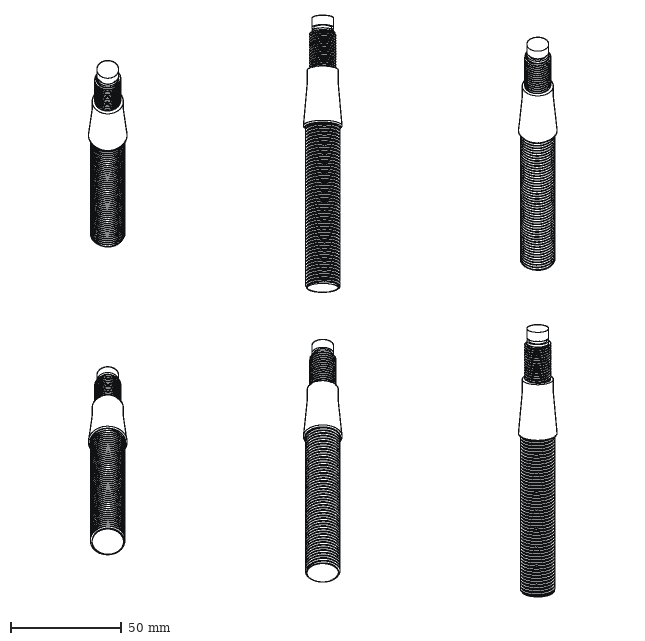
import cadquery as cq
import math

total_height = 127.8
cone_bottom = 76.2
cone_top = 97.0
collar_top = 103.2
upper_thread_top = 120.7
groove_bottom = 121.8
groove_top = 123.4

cone_diameter = 17.6
collar_diameter = 14.2
pin_diameter = 10.0
groove_diameter = 8.0
lower_crest_diameter = 15.9
lower_root_diameter = 14.2
upper_crest_diameter = 11.9
upper_root_diameter = 10.5

lower_thread_length = 76.5
lower_pieces = 3
turns_per_piece = 17
lower_piece_height = lower_thread_length / lower_pieces
lower_pitch = lower_piece_height / turns_per_piece
upper_pitch = 1.25
upper_start_angle = 100
crest_share = 1 / 8
foot_gap_share = 1 / 4
root_overlap = 0.1
spare_turns = 2
core_seam_angle = 37

cone_bevel = 0.6
end_bevel = 0.9
envelope_clearance = 0.1


def thread_ridge(root_radius, crest_radius, pitch, turns):
    """Solid right-hand helical ridge with a trapezoid section, bounded by four ruled faces and two ends."""
    inner_radius = root_radius - root_overlap
    half_crest = pitch * crest_share / 2
    half_foot = pitch * (1 - foot_gap_share) / 2
    corners = [
        (inner_radius, -half_foot),
        (crest_radius, -half_crest),
        (crest_radius, half_crest),
        (inner_radius, half_foot),
    ]
    edges = [
        cq.Wire.makeHelix(pitch, turns * pitch, radius, center=cq.Vector(0, 0, height))
        for radius, height in corners
    ]
    faces = [cq.Face.makeRuledSurface(edges[i - 1], edges[i]) for i in range(len(edges))]
    for end in (0, 1):
        outline = [edge.positionAt(end) for edge in edges]
        faces.append(cq.Face.makeFromWires(cq.Wire.makePolygon(outline, close=True)))
    return cq.Workplane(cq.Solid.makeSolid(cq.Shell.makeShell(faces)))


def threaded_rod(root_diameter, crest_diameter, pitch, height):
    """Core with a helical ridge, both cut flat at Z = 0 and Z = height."""
    turns = math.ceil(height / pitch) + spare_turns
    ridge = thread_ridge(root_diameter / 2, crest_diameter / 2, pitch, turns)
    ridge = ridge.translate((0, 0, -pitch * spare_turns / 2))
    slab = cq.Workplane("XY").circle(crest_diameter).extrude(height)
    core = cq.Workplane("XY").circle(root_diameter / 2).extrude(height)
    core = core.rotate((0, 0, 0), (0, 0, 1), core_seam_angle)
    return core.union(ridge.intersect(slab), clean=False)


def lower_rod():
    """Stacked thread pieces, the lowest one beveled at its free end."""
    piece = threaded_rod(lower_root_diameter, lower_crest_diameter, lower_pitch, lower_piece_height)
    envelope = (
        cq.Workplane("XY")
        .circle(lower_crest_diameter / 2 + envelope_clearance)
        .extrude(lower_piece_height)
        .faces("<Z")
        .chamfer(end_bevel)
    )
    pieces = piece.intersect(envelope)
    for i in range(1, lower_pieces):
        pieces = pieces.add(piece.translate((0, 0, i * lower_piece_height)))
    return pieces


def upper_rod():
    height = upper_thread_top - collar_top
    rod = threaded_rod(upper_root_diameter, upper_crest_diameter, upper_pitch, height)
    return rod.rotate((0, 0, 0), (0, 0, 1), upper_start_angle).translate((0, 0, collar_top))


def smooth_sections():
    """Cone, collar, pin and its groove, turned in one piece around Z."""
    cone_radius = cone_diameter / 2
    collar_radius = collar_diameter / 2
    pin_radius = pin_diameter / 2
    groove_radius = groove_diameter / 2
    profile = [
        (0, cone_bottom),
        (cone_radius - cone_bevel, cone_bottom),
        (cone_radius, cone_bottom + cone_bevel),
        (collar_radius, cone_top),
        (collar_radius, collar_top),
        (pin_radius, collar_top),
        (pin_radius, groove_bottom),
        (groove_radius, groove_bottom),
        (groove_radius, groove_top),
        (pin_radius, groove_top),
        (pin_radius, total_height),
        (0, total_height),
    ]
    return cq.Workplane("XZ").polyline(profile).close().revolve(360, (0, 0, 0), (0, 1, 0))


stud = smooth_sections().union(lower_rod().add(upper_rod()), clean=False)
result = stud.solids()